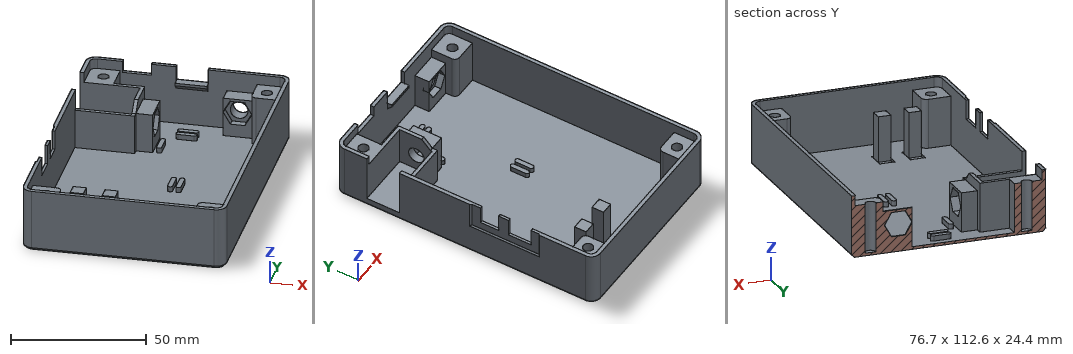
import cadquery as cq

LENGTH_X = 76.7
LENGTH_Y = 112.6
HEIGHT = 24.4
WALL = 1.6
FLOOR = 1.2
CORNER_RADIUS = 3.9
BOTTOM_CHAMFER = 1.2

LEFT = -LENGTH_X / 2
RIGHT = LENGTH_X / 2
FRONT = -LENGTH_Y / 2
BACK = LENGTH_Y / 2
OVERCUT = 1.1

BOSS_SIZE = 12.5
BOSS_TOP = 20.5
BOSS_RADIUS = 2.0
SCREW_INSET = 7.5
SCREW_DIAMETER = 4.0

BAY_X_MAX = -15.7
BAY_Y_MIN = 28.5
BAY_Y_MAX = 42.6
BAY_FLOOR = 3.9
BAY_WALL = 1.5
BAY_LOW_TOP = 16.7
BAY_SLOPE_TOP_Y = 33.0

NUT_BLOCK_REACH = 7.8
NUT_BLOCK_TOP = 16.7
NUT_HOLE_Z = 10.9
NUT_HOLE_DIAMETER = 6.6
NUT_ACROSS_CORNERS = 10.8
BAY_NUT_DEPTH = 4.4
BACK_NUT_DEPTH = 2.7
BAY_BLOCK_Y_MIN = 29.3
BAY_BLOCK_Y_MAX = 41.4
BACK_BLOCK_X_MIN = 14.4
BACK_BLOCK_HOLE_X = BACK_BLOCK_X_MIN + NUT_ACROSS_CORNERS / 2

BACK_NOTCH_X_MIN = -25.0
BACK_NOTCH_X_MAX = -14.1
BACK_NOTCH_Z = 19.9
SHELF_X_MIN = -4.7
SHELF_X_MAX = 7.3
SHELF_TOP = 18.6
SHELF_REACH = 1.9
SHELF_LIP = 1.0

RECESS_Y_MIN = -32.4
RECESS_Y_MAX = -2.0
RECESS_Z = 13.2
RECESS_DEPTH = 0.5
RECESS_BEVEL = 0.7
SIDE_NOTCH_Z = 17.0
SIDE_NOTCHES = [(-28.4, -18.6), (-14.3, -6.4)]

BUTTON_X = [-20.4, -8.3]
BUTTON_SIZE = 5.0
BUTTON_GAP = 0.5
BUTTON_Y_MIN = -42.9
BUTTON_TOP = 18.7
TONGUE_Y_MAX = -35.1
TONGUE_THICKNESS = 0.8

RIB_LENGTH = 8.0
RIB_WIDTH = 1.9
RIB_HEIGHT = 2.0
RIB_ALONG_X = 0
RIB_ALONG_Y = 90
CENTRE_RIB_X = 5.2
CENTRE_RIB_PITCH = 3.2
CENTRE_RIB_Y = 3.4
BACK_RIB_X = 1.9
BACK_RIB_Y = 42.8
BACK_RIB_PITCH = 2.7
BAY_RIB_X = -5.6
BAY_RIB_Y = 33.3
RIBS = [
    (CENTRE_RIB_X, CENTRE_RIB_Y, RIB_ALONG_Y),
    (CENTRE_RIB_X + CENTRE_RIB_PITCH, CENTRE_RIB_Y, RIB_ALONG_Y),
    (BACK_RIB_X, BACK_RIB_Y, RIB_ALONG_X),
    (BACK_RIB_X, BACK_RIB_Y + BACK_RIB_PITCH, RIB_ALONG_X),
    (BAY_RIB_X, BAY_RIB_Y, RIB_ALONG_Y),
]



def box(x_min, x_max, y_min, y_max, z_min, z_max):
    """Box given by its limits along each axis."""
    size = (x_max - x_min, y_max - y_min, z_max - z_min)
    return cq.Workplane("XY").box(*size, centered=False).translate((x_min, y_min, z_min))


def make_shell():
    """Open tray with rounded corners and a chamfered bottom edge."""
    body = cq.Workplane("XY").box(LENGTH_X, LENGTH_Y, HEIGHT, centered=(True, True, False))
    body = body.edges("|Z").fillet(CORNER_RADIUS).faces("<Z").chamfer(BOTTOM_CHAMFER)
    return body.cut(make_cavity())


def make_cavity():
    """Inner volume of the tray, also used to trim what stands in it."""
    cavity = box(LEFT + WALL, RIGHT - WALL, FRONT + WALL, BACK - WALL, FLOOR, HEIGHT + OVERCUT)
    return cavity.edges("|Z").fillet(CORNER_RADIUS - WALL)


def make_bosses():
    """Corner bosses, rounded on the inside; the one beside the jack bay stays square."""
    bosses = cq.Workplane("XY")
    for side_x in (-1, 1):
        for side_y in (-1, 1):
            x_limits = sorted((side_x * RIGHT, side_x * (RIGHT - BOSS_SIZE)))
            y_limits = sorted((side_y * BACK, side_y * (BACK - BOSS_SIZE)))
            boss = box(*x_limits, *y_limits, 0, BOSS_TOP)
            if (side_x, side_y) != (-1, 1):
                toward_x = "<X" if side_x > 0 else ">X"
                toward_y = "<Y" if side_y > 0 else ">Y"
                boss = boss.edges(f"|Z and {toward_x} and {toward_y}").fillet(BOSS_RADIUS)
            bosses = bosses.add(boss)
    return bosses.combine()


def make_screw_holes():
    x_place = RIGHT - SCREW_INSET
    y_place = BACK - SCREW_INSET
    corners = [(x, y) for x in (-x_place, x_place) for y in (-y_place, y_place)]
    return (
        cq.Workplane("XY").workplane(offset=FLOOR).pushPoints(corners)
        .circle(SCREW_DIAMETER / 2).extrude(HEIGHT)
    )


def make_bay():
    """Solid block of the jack bay with its sloped upper corner."""
    y_min = BAY_Y_MIN - BAY_WALL
    y_max = BAY_Y_MAX + BAY_WALL
    slope_end_y = BAY_SLOPE_TOP_Y - (BOSS_TOP - BAY_LOW_TOP)
    profile = [
        (y_min, 0), (y_max, 0), (y_max, BOSS_TOP), (BAY_SLOPE_TOP_Y, BOSS_TOP),
        (slope_end_y, BAY_LOW_TOP), (y_min, BAY_LOW_TOP),
    ]
    length = BAY_X_MAX + BAY_WALL - LEFT
    return cq.Workplane("YZ", origin=(LEFT, 0, 0)).polyline(profile).close().extrude(length)


def make_nut_cut(plane, nut_depth):
    """Through hole with a nut pocket; the plane looks inward from the outer face of the wall."""
    hole = (
        cq.Workplane(plane).workplane(offset=-OVERCUT)
        .circle(NUT_HOLE_DIAMETER / 2).extrude(NUT_BLOCK_REACH + OVERCUT)
    )
    pocket = (
        cq.Workplane(plane).workplane(offset=NUT_BLOCK_REACH - nut_depth)
        .polygon(6, NUT_ACROSS_CORNERS).extrude(nut_depth)
    )
    return hole.union(pocket)


def make_shelf():
    """Ledge below the second back notch, carried by a 45 degree underside."""
    y_wall = BACK - WALL
    y_edge = y_wall - SHELF_REACH
    profile = [
        (BACK, SHELF_TOP), (y_edge, SHELF_TOP), (y_edge, SHELF_TOP - SHELF_LIP),
        (y_wall, SHELF_TOP - SHELF_LIP - SHELF_REACH), (BACK, SHELF_TOP - SHELF_LIP - SHELF_REACH),
    ]
    workplane = cq.Workplane("YZ", origin=(SHELF_X_MIN, 0, 0))
    return workplane.polyline(profile).close().extrude(SHELF_X_MAX - SHELF_X_MIN)


def make_side_recess():
    """Shallow recess in the outer face of the -X wall, narrowing inward."""
    def outline(x, inset):
        corners = [
            (x, RECESS_Y_MIN + inset, RECESS_Z + inset), (x, RECESS_Y_MAX - inset, RECESS_Z + inset),
            (x, RECESS_Y_MAX - inset, HEIGHT + OVERCUT), (x, RECESS_Y_MIN + inset, HEIGHT + OVERCUT),
        ]
        return cq.Wire.makePolygon([cq.Vector(*c) for c in corners], close=True)

    frustum = cq.Solid.makeLoft([outline(LEFT, 0), outline(LEFT + RECESS_DEPTH, RECESS_BEVEL)], True)
    return cq.Workplane(frustum)


def make_rib(x, y, angle):
    rib = cq.Workplane("XY", origin=(x, y, FLOOR / 2)).slot2D(RIB_LENGTH, RIB_WIDTH, angle)
    return rib.extrude(FLOOR / 2 + RIB_HEIGHT)


def make_button_gap(x):
    """Opening through the floor around a button and its tongue."""
    half_width = BUTTON_SIZE / 2 + BUTTON_GAP
    return box(x - half_width, x + half_width, BUTTON_Y_MIN - BUTTON_GAP, TONGUE_Y_MAX, 0, FLOOR)


def make_button(x):
    """Square post standing on a thin tongue hinged at its +Y end."""
    x_min = x - BUTTON_SIZE / 2
    x_max = x + BUTTON_SIZE / 2
    tongue = box(x_min, x_max, BUTTON_Y_MIN, TONGUE_Y_MAX, 0, TONGUE_THICKNESS)
    post = box(x_min, x_max, BUTTON_Y_MIN, BUTTON_Y_MIN + BUTTON_SIZE, 0, BUTTON_TOP)
    return tongue.union(post)


result = make_shell()
result = result.union(make_bosses().union(make_bay()).intersect(make_cavity()))
result = result.union(
    box(BAY_X_MAX, BAY_X_MAX + NUT_BLOCK_REACH, BAY_BLOCK_Y_MIN, BAY_BLOCK_Y_MAX, FLOOR, NUT_BLOCK_TOP)
)
result = result.union(
    box(BACK_BLOCK_X_MIN, RIGHT - BOSS_SIZE, BACK - NUT_BLOCK_REACH, BACK - WALL, FLOOR, NUT_BLOCK_TOP)
)
result = result.cut(make_screw_holes())

result = result.cut(
    box(LEFT - OVERCUT, BAY_X_MAX, BAY_Y_MIN, BAY_Y_MAX, BAY_FLOOR, HEIGHT + OVERCUT)
)
bay_hole_y = (BAY_BLOCK_Y_MIN + BAY_BLOCK_Y_MAX) / 2
bay_hole_plane = cq.Plane((BAY_X_MAX, bay_hole_y, NUT_HOLE_Z), (0, 1, 0), (1, 0, 0))
back_hole_plane = cq.Plane((BACK_BLOCK_HOLE_X, BACK, NUT_HOLE_Z), (1, 0, 0), (0, -1, 0))
result = result.cut(make_nut_cut(bay_hole_plane, BAY_NUT_DEPTH))
result = result.cut(make_nut_cut(back_hole_plane, BACK_NUT_DEPTH))

result = result.cut(
    box(BACK_NOTCH_X_MIN, BACK_NOTCH_X_MAX, BACK - WALL - OVERCUT, BACK, BACK_NOTCH_Z, HEIGHT)
)
result = result.cut(box(SHELF_X_MIN, SHELF_X_MAX, BACK - WALL, BACK, SHELF_TOP, HEIGHT))
result = result.union(make_shelf())

result = result.cut(make_side_recess())
for y_min, y_max in SIDE_NOTCHES:
    result = result.cut(box(LEFT, LEFT + WALL, y_min, y_max, SIDE_NOTCH_Z, HEIGHT))

for button_x in BUTTON_X:
    result = result.cut(make_button_gap(button_x)).union(make_button(button_x))
for rib_x, rib_y, rib_angle in RIBS:
    result = result.union(make_rib(rib_x, rib_y, rib_angle))